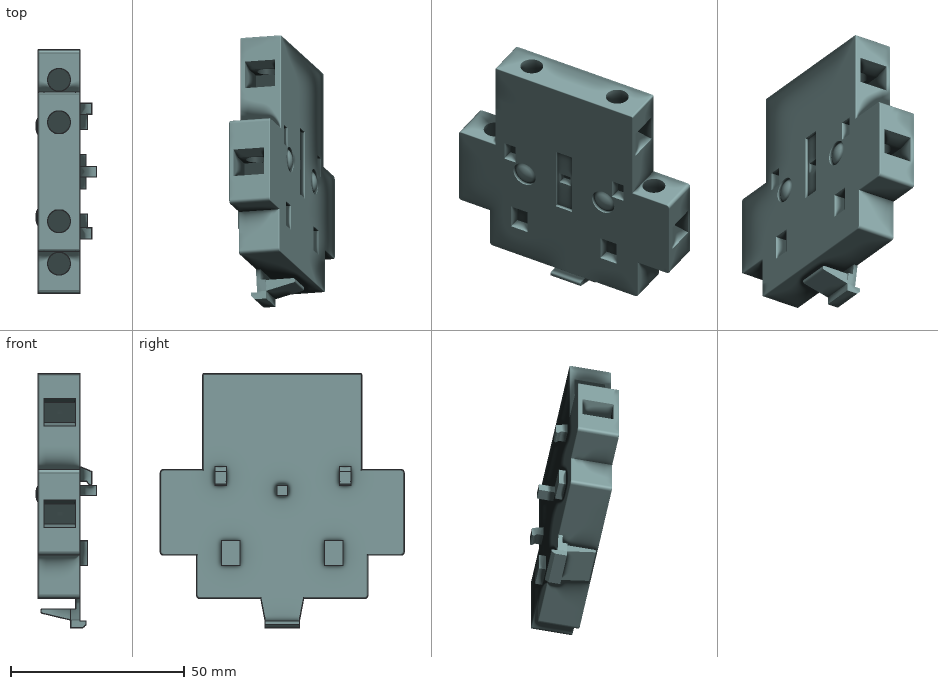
import cadquery as cq
import math


THICKNESS = 12.2
HEIGHT = 65.0
TOP_WIDTH = 46.0
MIDDLE_WIDTH = 70.5
BOTTOM_WIDTH = 49.6
MIDDLE_BOTTOM_Z = 12.5
MIDDLE_TOP_Z = 37.27
TOP_CORNER_RADIUS = 0.5
LOWER_CORNER_RADIUS = 1.0
RIM_RADIUS = 0.25

ENTRY_X = (1.75, 10.85)
ENTRY_HEIGHT = 7.9
ENTRY_DEPTH = 12.0
ENTRY_TAPER_LENGTH = 4.9
ENTRY_CEILING_DROP = 1.15
ENTRY_FLOOR_RISE = 0.95
UPPER_ENTRY_DROP = 7.25
LOWER_ENTRY_DROP = 8.85

SCREW_HOLE_DIAMETER = 6.6
SCREW_HOLE_INSET = 8.7

RECESS_DEPTH = 1.0
POCKET_DEPTH = 3.5
SLOT_WIDTH = 5.4
SLOT_Z = (22.6, 42.4)
WINDOW_Y = (-1.6, 2.0)
WINDOW_Z = (31.0, 34.1)

DOME_RECESS_DIAMETER = 7.4
DOME_DIAMETER = 7.2
DOME_PROTRUSION = 0.62
DOME_Y = 13.15
DOME_Z = 30.2

LUG_Y = (12.2, 17.6)
LUG_Z = (9.5, 16.7)
LUG_LENGTH = 2.15

HOOK_WIDTH = 3.3
HOOK_SPACING = 36.0
HOOK_OFFSET_Y = 0.2
HOOK_POCKET_Y = (16.1, 19.9)
HOOK_POCKET_Z = (33.3, 38.9)
HOOK_LENGTH = 3.36
HOOK_TOP_Z = 38.1
HOOK_SHOULDER_Z = 36.7
HOOK_UNDERSIDE_Z = 33.8
HOOK_TIP_Z = 32.7
HOOK_THROAT_LENGTH = 1.9
HOOK_TIP_START = 2.75
HOOK_TIP_CHAMFER = 0.4

PLUNGER_WIDTH = 3.05
PLUNGER_Z = (29.7, 32.7)
PLUNGER_LENGTH = 4.8

CLIP_WIDTH = 10.0
CLIP_ROOT_WIDTH = 12.4
CLIP_STEM_THICKNESS = 1.3
CLIP_FOOT_THICKNESS = 2.75
CLIP_LEVER_LENGTH = 11.35
CLIP_LEVER_TOP_Z = -3.0
CLIP_TAPER_END_Z = -6.25
CLIP_LEVER_TIP_HEIGHT = 1.2
CLIP_LEVER_TIP_RADIUS = 0.5
CLIP_HOOK_LENGTH = 1.75
CLIP_HOOK_TOP_Z = -6.5
CLIP_BOTTOM_Z = -8.52
CLIP_HOOK_CHAMFER = 1.0


def box(x_range, y_range, z_range):
    """Axis-aligned box spanning the given ranges."""
    size = [high - low for low, high in (x_range, y_range, z_range)]
    corner = (x_range[0], y_range[0], z_range[0])
    return cq.Workplane("XY").box(*size, centered=False).translate(corner)


def extrude_xz(points, y_range):
    """Prism with an XZ outline, spanning the given Y range."""
    plane = cq.Workplane("XZ", origin=(0, y_range[0], 0))
    return plane.polyline(points).close().extrude(y_range[0] - y_range[1])


def both_sides(shape):
    """The shape together with its mirror image across the Y = 0 plane."""
    return shape.union(shape.mirror("XZ"))


def make_housing():
    top = TOP_WIDTH / 2
    middle = MIDDLE_WIDTH / 2
    bottom = BOTTOM_WIDTH / 2
    half_outline = [
        (bottom, 0),
        (bottom, MIDDLE_BOTTOM_Z),
        (middle, MIDDLE_BOTTOM_Z),
        (middle, MIDDLE_TOP_Z),
        (top, MIDDLE_TOP_Z),
        (top, HEIGHT),
    ]
    other_half = [(-y, z) for y, z in reversed(half_outline)]
    housing = cq.Workplane("YZ").polyline(half_outline + other_half).close().extrude(THICKNESS)

    def corner_edges(y, z):
        selected = housing.newObject([])
        for side in (-y, y):
            point = (THICKNESS / 2, side, z)
            selected = selected.add(housing.edges(cq.selectors.NearestToPointSelector(point)))
        return selected

    for y, z in ((bottom, 0), (middle, MIDDLE_BOTTOM_Z), (middle, MIDDLE_TOP_Z)):
        housing = corner_edges(y, z).fillet(LOWER_CORNER_RADIUS)
    housing = corner_edges(top, HEIGHT).fillet(TOP_CORNER_RADIUS)
    return housing.faces("<X or >X").edges().fillet(RIM_RADIUS)


def make_terminal_cutter(front_y, terminal_top_z, entry_drop):
    """Wire entry and screwdriver hole of a terminal whose front wall is at y = -front_y."""
    ceiling = terminal_top_z - entry_drop
    floor = ceiling - ENTRY_HEIGHT
    taper_y = ENTRY_TAPER_LENGTH - front_y
    end_y = ENTRY_DEPTH - front_y
    inner_ceiling = ceiling - ENTRY_CEILING_DROP
    inner_floor = floor + ENTRY_FLOOR_RISE
    outline = [
        (-front_y, floor),
        (taper_y, inner_floor),
        (end_y, inner_floor),
        (end_y, inner_ceiling),
        (taper_y, inner_ceiling),
        (-front_y, ceiling),
    ]
    entry = (
        cq.Workplane("YZ", origin=(ENTRY_X[0], 0, 0))
        .polyline(outline)
        .close()
        .extrude(ENTRY_X[1] - ENTRY_X[0])
    )
    hole_y = SCREW_HOLE_INSET - front_y
    hole = (
        cq.Workplane("XY", origin=(THICKNESS / 2, hole_y, inner_ceiling))
        .circle(SCREW_HOLE_DIAMETER / 2)
        .extrude(terminal_top_z - inner_ceiling)
    )
    return both_sides(entry.union(hole))


def make_cover_recesses():
    half_slot = SLOT_WIDTH / 2
    slot = box((0, RECESS_DEPTH), (-half_slot, half_slot), SLOT_Z)
    window = box((0, POCKET_DEPTH), WINDOW_Y, WINDOW_Z)
    lug_pocket = box((0, POCKET_DEPTH), LUG_Y, LUG_Z)
    hook_pocket = box((0, POCKET_DEPTH), HOOK_POCKET_Y, HOOK_POCKET_Z)
    dome_recess = (
        cq.Workplane("YZ", origin=(0, DOME_Y, DOME_Z))
        .circle(DOME_RECESS_DIAMETER / 2)
        .extrude(RECESS_DEPTH)
    )
    return slot.union(window).union(both_sides(lug_pocket.union(hook_pocket).union(dome_recess)))


def make_domes():
    """Spherical screw heads on short shanks rooted below the bottoms of the round recesses."""
    base_radius = DOME_DIAMETER / 2
    cap_height = RECESS_DEPTH + DOME_PROTRUSION
    sphere_radius = (base_radius**2 + cap_height**2) / (2 * cap_height)
    half_radius = base_radius / 2
    arc_drop = sphere_radius - math.sqrt(sphere_radius**2 - half_radius**2)
    dome = (
        cq.Workplane("XY")
        .moveTo(POCKET_DEPTH, 0)
        .lineTo(-DOME_PROTRUSION, 0)
        .threePointArc((arc_drop - DOME_PROTRUSION, half_radius), (RECESS_DEPTH, base_radius))
        .lineTo(POCKET_DEPTH, base_radius)
        .close()
        .revolve(360, (0, 0), (1, 0))
        .translate((0, DOME_Y, DOME_Z))
    )
    return both_sides(dome)


def make_lugs():
    return both_sides(box((THICKNESS, THICKNESS + LUG_LENGTH), LUG_Y, LUG_Z))


def make_hooks():
    end_x = THICKNESS + HOOK_LENGTH
    outline = [
        (THICKNESS, HOOK_TOP_Z),
        (end_x, HOOK_SHOULDER_Z),
        (end_x, HOOK_TIP_Z + HOOK_TIP_CHAMFER),
        (end_x - HOOK_TIP_CHAMFER, HOOK_TIP_Z),
        (THICKNESS + HOOK_TIP_START, HOOK_TIP_Z),
        (THICKNESS + HOOK_THROAT_LENGTH, HOOK_UNDERSIDE_Z),
        (THICKNESS, HOOK_UNDERSIDE_Z),
    ]
    half_width = HOOK_WIDTH / 2
    hook = extrude_xz(outline, (HOOK_OFFSET_Y - half_width, HOOK_OFFSET_Y + half_width))
    half_spacing = HOOK_SPACING / 2
    return hook.translate((0, half_spacing, 0)).union(hook.translate((0, -half_spacing, 0)))


def make_plunger():
    half_width = PLUNGER_WIDTH / 2
    return box((THICKNESS, THICKNESS + PLUNGER_LENGTH), (-half_width, half_width), PLUNGER_Z)


def make_clip():
    half_width = CLIP_WIDTH / 2
    half_root = CLIP_ROOT_WIDTH / 2
    clip_y = (-half_width, half_width)
    foot_x = THICKNESS - CLIP_FOOT_THICKNESS
    stem_x = THICKNESS - CLIP_STEM_THICKNESS
    tip_x = THICKNESS - CLIP_LEVER_LENGTH
    hook_x = THICKNESS + CLIP_HOOK_LENGTH

    stem = (
        cq.Workplane("YZ", origin=(foot_x, 0, 0))
        .polyline(
            [
                (-half_root, 0),
                (half_root, 0),
                (half_width, CLIP_TAPER_END_Z),
                (-half_width, CLIP_TAPER_END_Z),
            ]
        )
        .close()
        .extrude(CLIP_FOOT_THICKNESS)
    )
    stem = stem.cut(box((foot_x, stem_x), (-half_root, half_root), (CLIP_LEVER_TOP_Z, 0)))

    lever_outline = [
        (foot_x, CLIP_LEVER_TOP_Z),
        (tip_x, CLIP_LEVER_TOP_Z),
        (tip_x, CLIP_LEVER_TOP_Z - CLIP_LEVER_TIP_HEIGHT),
        (foot_x, CLIP_TAPER_END_Z),
    ]
    lever = extrude_xz(lever_outline, clip_y).faces("<X").edges("|Y").fillet(CLIP_LEVER_TIP_RADIUS)

    hook_outline = [
        (foot_x, CLIP_TAPER_END_Z),
        (THICKNESS, CLIP_TAPER_END_Z),
        (THICKNESS, CLIP_HOOK_TOP_Z),
        (hook_x, CLIP_HOOK_TOP_Z),
        (hook_x, CLIP_BOTTOM_Z + CLIP_HOOK_CHAMFER),
        (hook_x - CLIP_HOOK_CHAMFER, CLIP_BOTTOM_Z),
        (foot_x, CLIP_BOTTOM_Z),
    ]
    hook = extrude_xz(hook_outline, clip_y)

    root = box((stem_x, THICKNESS), (-half_root, half_root), (0, LOWER_CORNER_RADIUS))
    return stem.union(lever).union(hook).union(root)


result = make_housing()
result = result.cut(make_terminal_cutter(TOP_WIDTH / 2, HEIGHT, UPPER_ENTRY_DROP))
result = result.cut(make_terminal_cutter(MIDDLE_WIDTH / 2, MIDDLE_TOP_Z, LOWER_ENTRY_DROP))
result = result.cut(make_cover_recesses())
for feature in (make_domes(), make_lugs(), make_hooks(), make_plunger(), make_clip()):
    result = result.union(feature)